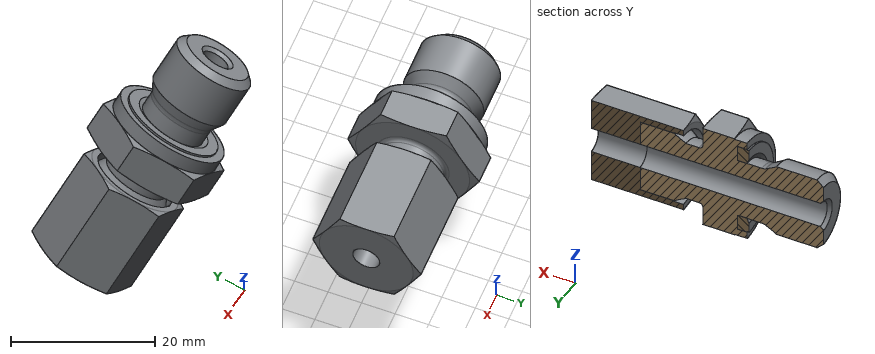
import cadquery as cq
import math

length = 36.5

bore_radius = 2.0
bore_chamfer = 0.5
thread_radius = 6.02
end_chamfer = 1.02
neck_radius = 4.9
front_thread_end = 7.37
runout_angle = math.radians(30)
runout_fillet = 1.35
collar_start = 12.0
collar_width = 2.0
collar_radius = 8.43
hex_start = collar_start + collar_width
hex_width = 5.0
hex_end = hex_start + hex_width
hex_across_flats = 17.0
hex_fillet = 0.55
rear_neck_end = 21.6
body_end = 28.85

ring_radius = 7.23
ring_projection = 0.3
ring_depth = 1.5
ring_mouth_radius = 5.6
ring_face = collar_start - ring_projection
ring_bottom = collar_start + ring_depth

nut_start = 22.0
nut_across_flats = 14.0

corner_angle = math.radians(15)

arc_length = runout_fillet * math.sin(runout_angle)
arc_rise = runout_fillet * (1 - math.cos(runout_angle))
half_arc_length = runout_fillet * math.sin(runout_angle / 2)
half_arc_rise = runout_fillet * (1 - math.cos(runout_angle / 2))
cone_length = (thread_radius - neck_radius - arc_rise) / math.tan(runout_angle)
front_cone_end = front_thread_end + cone_length
front_neck_start = front_cone_end + arc_length
rear_thread_start = rear_neck_end + (thread_radius - neck_radius) / math.tan(runout_angle)


def revolve_about_x(profile):
    return profile.close().revolve(360, (0, 0, 0), (1, 0, 0))


def cylinder(radius, start, end):
    return cq.Workplane("YZ", origin=(start, 0, 0)).circle(radius).extrude(end - start)


def chamfered_hexagon(across_flats, start, end):
    """Hexagonal prism with flats on +Z and -Z, corners cut by a cone at both ends."""
    flat_radius = across_flats / 2
    corner_radius = flat_radius / math.cos(math.radians(30))
    corner_length = (corner_radius - flat_radius) * math.tan(corner_angle)
    section = cq.Workplane("YZ", origin=(start, 0, 0)).polygon(6, 2 * corner_radius)
    prism = section.extrude(end - start)
    envelope = revolve_about_x(
        cq.Workplane("XY")
        .moveTo(start, 0)
        .lineTo(start, flat_radius)
        .lineTo(start + corner_length, corner_radius)
        .lineTo(end - corner_length, corner_radius)
        .lineTo(end, flat_radius)
        .lineTo(end, 0)
    )
    return prism.intersect(envelope)


def make_seal_ring():
    """Ring that stands out of the collar, its bore opening as a shallow cone to the face."""
    return revolve_about_x(
        cq.Workplane("XY")
        .moveTo(ring_face, ring_mouth_radius)
        .lineTo(ring_face, ring_radius)
        .lineTo(ring_bottom, ring_radius)
        .lineTo(ring_bottom, neck_radius)
        .lineTo(collar_start, neck_radius)
    )


def make_turned_stud():
    """Revolved stud: screw-in thread, neck, collar, rear neck and nut thread."""
    fillet_middle = hex_fillet * (1 - math.cos(math.radians(45)))
    return revolve_about_x(
        cq.Workplane("XY")
        .moveTo(0, 0)
        .lineTo(0, thread_radius - end_chamfer)
        .lineTo(end_chamfer, thread_radius)
        .lineTo(front_thread_end, thread_radius)
        .lineTo(front_cone_end, neck_radius + arc_rise)
        .threePointArc(
            (front_neck_start - half_arc_length, neck_radius + half_arc_rise),
            (front_neck_start, neck_radius),
        )
        .lineTo(ring_bottom, neck_radius)
        .lineTo(ring_bottom, ring_radius)
        .lineTo(collar_start, ring_radius)
        .lineTo(collar_start, collar_radius)
        .lineTo(hex_end, collar_radius)
        .lineTo(hex_end, neck_radius + hex_fillet)
        .threePointArc(
            (hex_end + fillet_middle, neck_radius + fillet_middle),
            (hex_end + hex_fillet, neck_radius),
        )
        .lineTo(rear_neck_end, neck_radius)
        .lineTo(rear_thread_start, thread_radius)
        .lineTo(body_end, thread_radius)
        .lineTo(body_end, 0)
    )


def make_body():
    """Stud with its hexagon and a through bore chamfered at the screw-in end."""
    hexagon = chamfered_hexagon(hex_across_flats, hex_start, hex_end)
    bore_mouth = revolve_about_x(
        cq.Workplane("XY")
        .moveTo(0, 0)
        .lineTo(0, bore_radius + bore_chamfer)
        .lineTo(bore_chamfer, bore_radius)
        .lineTo(bore_chamfer, 0)
    )
    bore = cylinder(bore_radius, 0, body_end)
    return make_turned_stud().union(hexagon).cut(bore).cut(bore_mouth).solids()


def make_nut():
    """Hexagonal nut that takes the stud's thread and carries the bore on through its end."""
    hexagon = chamfered_hexagon(nut_across_flats, nut_start, length)
    thread_hole = cylinder(thread_radius, nut_start, body_end)
    bore = cylinder(bore_radius, body_end, length)
    return hexagon.cut(thread_hole).cut(bore).solids()


body = make_body()
seal_ring = make_seal_ring()
nut = make_nut()

result = cq.Compound.makeCompound([body.val(), seal_ring.val(), nut.val()])